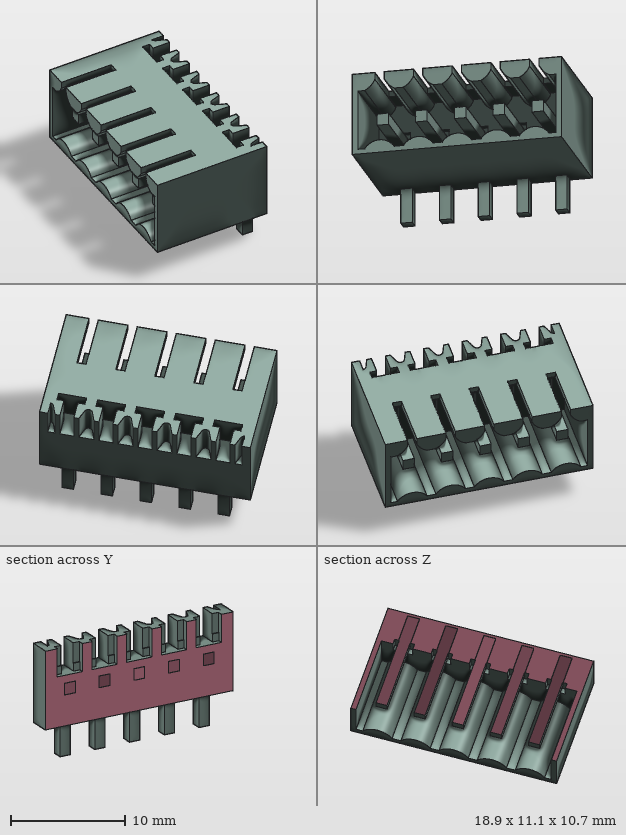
import cadquery as cq


width = 18.9
depth = 11.05
height = 7.47
overall_height = 10.65
pin_count = 5
pitch = 3.5
pin_xs = [(i - (pin_count - 1) / 2) * pitch for i in range(pin_count)]
rib_xs = [(i - pin_count / 2) * pitch for i in range(pin_count + 1)]

wall = 0.51
floor_z = 0.43
ceiling_z = 5.85
cavity_depth = 7.56
arch_half_width = 1.35
bump_height = 0.72
roof_z = height - wall
roof_arc_z = 6.82
flank_radius = 1.89

slot_width = 0.83
slot_length = 5.03

pin_size = 1.04
pin_z = 3.5
tip_y = 1.21
leg_setback = 0.83
leg_center_y = depth - leg_setback
leg_length = overall_height - height
recess_size = 1.78
recess_depth = 0.51

rear_cut_depth = 2.65
stem_width = 1.25
head_width = 2.5
head_setback = 2.36
head_front = depth - head_setback
stem_length = 1.66
shoulder_y = depth - stem_length
ledge_width = 0.08
ledge_depth = 1.89
notch_half_width = 0.68
notch_length = 1.15
notch_arc_half_width = 0.34
notch_arc_start = 0.93
notch_side_limit = 8.7


def box(x_size, y_range, z_range, x=0):
    """Box centred on x that spans the given y and z ranges."""
    y_size = y_range[1] - y_range[0]
    z_size = z_range[1] - z_range[0]
    corner = (x - x_size / 2, y_range[0], z_range[0])
    return cq.Workplane("XY").box(x_size, y_size, z_size, centered=False).translate(corner)


def make_cavity():
    """Scalloped cavity: convex bumps on the floor, curved recesses in the roof."""
    side = width / 2 - wall
    outline = cq.Workplane("XZ").moveTo(-side, floor_z)
    for x in pin_xs:
        outline = outline.lineTo(x - arch_half_width, floor_z)
        outline = outline.threePointArc((x, floor_z + bump_height), (x + arch_half_width, floor_z))
    outline = outline.lineTo(side, floor_z).lineTo(side, ceiling_z)
    for x in reversed(pin_xs):
        outline = (
            outline.lineTo(x + arch_half_width, ceiling_z)
            .radiusArc((x + slot_width / 2, roof_arc_z), flank_radius)
            .lineTo(x + slot_width / 2, roof_z)
            .lineTo(x - slot_width / 2, roof_z)
            .lineTo(x - slot_width / 2, roof_arc_z)
            .radiusArc((x - arch_half_width, ceiling_z), flank_radius)
        )
    return outline.lineTo(-side, ceiling_z).close().extrude(-cavity_depth)


def make_t_pocket(x):
    """T-shaped pocket whose shoulders carry a narrow ledge in the lower part."""
    bottom = height - rear_cut_depth
    ledge_z = height - ledge_depth
    stem = box(stem_width, (head_front, depth), (bottom, height), x)
    upper_head = box(head_width, (head_front, shoulder_y), (ledge_z, height), x)
    lower_head = box(head_width, (head_front, shoulder_y - ledge_width), (bottom, ledge_z), x)
    return stem.union(upper_head).union(lower_head)


def make_notch(x):
    """V notch with a rounded tip, cut into the rear face."""
    arc_y = depth - notch_arc_start
    notch = (
        cq.Workplane("XY", origin=(x, 0, height))
        .moveTo(-notch_half_width, depth)
        .lineTo(-notch_arc_half_width, arc_y)
        .threePointArc((0, depth - notch_length), (notch_arc_half_width, arc_y))
        .lineTo(notch_half_width, depth)
        .close()
        .extrude(-rear_cut_depth)
    )
    return notch.intersect(box(2 * notch_side_limit, (0, depth), (0, height)))


def make_pin(x):
    """Square right-angle pin: a contact bar to the front and a leg down through the floor."""
    half = pin_size / 2
    bar = box(pin_size, (tip_y, leg_center_y + half), (pin_z - half, pin_z + half), x)
    leg = box(pin_size, (leg_center_y - half, leg_center_y + half), (-leg_length, pin_z + half), x)
    return bar.union(leg)


def make_housing(pins):
    """Housing with its cavity, slots, pockets and notches, and a matching hole for each pin."""
    body = box(width, (0, depth), (0, height)).cut(make_cavity())
    recess_y = (cavity_depth, cavity_depth + recess_depth)
    recess_z = (pin_z - recess_size / 2, pin_z + recess_size / 2)
    for x in pin_xs:
        body = body.cut(box(slot_width, (0, slot_length), (roof_z, height), x))
        body = body.cut(box(recess_size, recess_y, recess_z, x))
        body = body.cut(make_t_pocket(x))
    for x in rib_xs:
        body = body.cut(make_notch(x))
    for pin in pins:
        body = body.cut(pin)
    return body


pins = [make_pin(x) for x in pin_xs]
housing = make_housing(pins)

result = cq.Compound.makeCompound([housing.val(), *[pin.val() for pin in pins]])